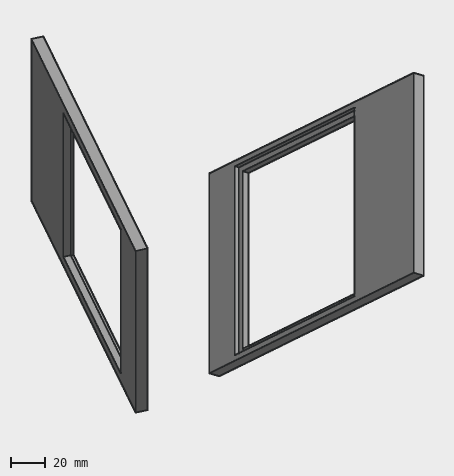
import cadquery as cq

length = 195.0
thickness = 7.5
height = 125.0

left_margin = 60.0
right_margin = 28.0
edge_margin = 7.0
window_length = length - left_margin - right_margin
window_height = height - 2 * edge_margin
window_center_x = (left_margin - right_margin) / 2

lip_thickness = 4.5
rebate_width = edge_margin / 2
rebate_depth = thickness - lip_thickness


def window_block(margin, depth):
    """Block larger than the window by margin on each side, sunk from the back face."""
    center_y = (thickness - depth) / 2
    return (
        cq.Workplane("XY")
        .box(window_length + 2 * margin, depth, window_height + 2 * margin)
        .translate((window_center_x, center_y, 0))
    )


plate = cq.Workplane("XY").box(length, thickness, height)
window = window_block(0, thickness)
rebate = window_block(rebate_width, rebate_depth)

result = plate.cut(window).cut(rebate)